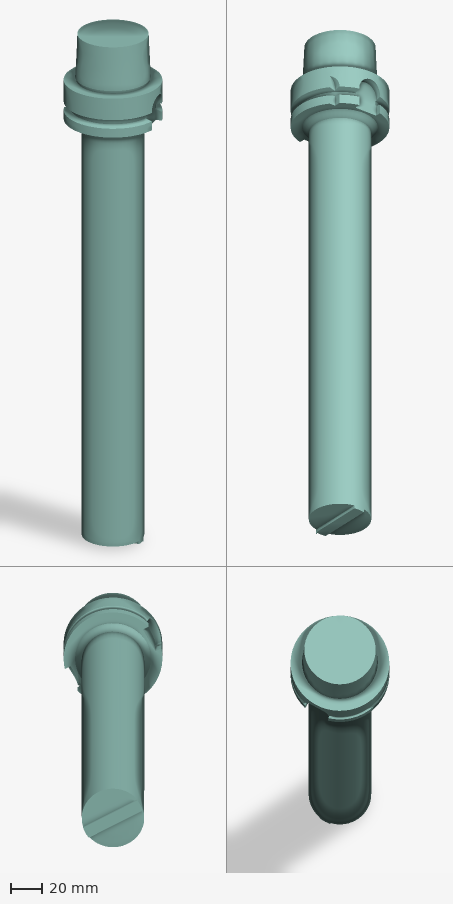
import cadquery as cq
import math

total_height = 350.0

taper_top_radius = 22.8
taper_bottom_radius = 24.0
relief_radius = 23.5
relief_height = 2.0

collar_radius = 31.5
collar_top = total_height - 32.0
collar_bottom = collar_top - 27.0
groove_radius = 27.3
groove_floor_height = 3.0
groove_wall_height = 1.5
groove_middle = collar_top - 18.0
groove_floor_top = groove_middle + groove_floor_height / 2
groove_floor_bottom = groove_middle - groove_floor_height / 2

shank_radius = 20.0
cone_top_radius = 24.0
cone_height = cone_top_radius - shank_radius
shank_bottom = 3.0

slot_width = 16.8
slot_radius = slot_width / 2
slot_arch_center = collar_top - 5.5 - slot_radius
drive_slot_floor = 26.2
notch_corner = 20.0

rib_width = 7.7
rib_bottom = 1.0
tooth_length = 0.7
tooth_thickness = 0.5


def make_body():
    """Turned body: taper, collar, groove and shank."""
    outline = [
        (0, shank_bottom),
        (shank_radius, shank_bottom),
        (shank_radius, collar_bottom - cone_height),
        (cone_top_radius, collar_bottom),
        (collar_radius, collar_bottom),
        (collar_radius, groove_floor_bottom - groove_wall_height),
        (groove_radius, groove_floor_bottom),
        (groove_radius, groove_floor_top),
        (collar_radius, groove_floor_top + groove_wall_height),
        (collar_radius, collar_top),
        (relief_radius, collar_top),
        (relief_radius, collar_top + relief_height),
        (taper_bottom_radius, collar_top + relief_height),
        (taper_top_radius, total_height),
        (0, total_height),
    ]
    return cq.Workplane("XZ").polyline(outline).close().revolve(360, (0, 0), (0, 1))


def make_slot_cutter(floor, center_y):
    """Arched cutter on the -X side, open at the collar's underside."""
    depth = collar_radius - floor
    return (
        cq.Workplane("YZ", origin=(-collar_radius, center_y, 0))
        .moveTo(-slot_radius, collar_bottom)
        .lineTo(-slot_radius, slot_arch_center)
        .threePointArc((0, slot_arch_center + slot_radius), (slot_radius, slot_arch_center))
        .lineTo(slot_radius, collar_bottom)
        .close()
        .extrude(depth)
    )


def make_end_rib():
    """Rib across the shank's end, following the round shank at its ends."""
    rib_height = shank_bottom - rib_bottom
    bar = cq.Workplane("XY", origin=(0, 0, rib_bottom)).rect(2 * shank_radius, rib_width).extrude(rib_height)
    return bar.intersect(cq.Workplane("XY").circle(shank_radius).extrude(shank_bottom))


def make_tooth():
    """Small tooth at the rib's outer +X, +Y corner, reaching down to Z = 0."""
    rib_side = rib_width / 2
    outer_x = math.sqrt(shank_radius**2 - rib_side**2)
    corner = (outer_x - tooth_length, rib_side - tooth_thickness, 0)
    return cq.Workplane("XY", origin=corner).box(tooth_length, tooth_thickness, shank_bottom, centered=False)


drive_slot = make_slot_cutter(drive_slot_floor, 0)
opposite_drive_slot = drive_slot.mirror("YZ")
notch = make_slot_cutter(notch_corner, notch_corner + slot_radius)

result = (
    make_body()
    .cut(drive_slot)
    .cut(opposite_drive_slot)
    .cut(notch)
    .union(make_end_rib())
    .union(make_tooth())
)